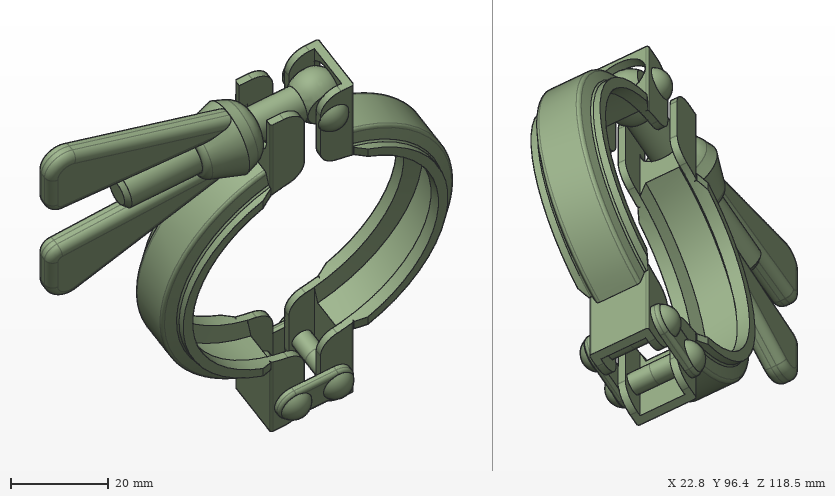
import cadquery as cq
import math


bore_radius = 29.8
lip_outer_radius = 32.1
groove_radius = 33.5
ring_outer_radius = 35.4
ring_half_width = 8.2
flank_angle = math.radians(20)
lip_inner_x = 5.3
flank_foot_x = 6.25
crown_fillet = 0.9
flank_foot_fillet = 0.5

ear_half_width = 7.0
ear_inner_half_width = lip_inner_x
ear_back_y = 10.1
ear_back_thickness = 2.0
ear_gap = 1.95
ear_height = 51.55
ear_corner_radius = 5.0
ear_bend_radius = 0.5
lip_taper_length = 2.6

pin_y = 5.1
pin_z = 43.95
pin_diameter = 4.82
head_sphere_radius = 4.0
head_height = 2.375
ball_window_radius = 6.3
screw_slot_radius = ear_inner_half_width

link_thickness = 2.0
link_end_radius = 4.1
link_edge_fillet = 1.0

screw_radius = 4.0
screw_end_y = -43.0
screw_chamfer = 1.1
ball_radius = 6.0
ball_half_width = 4.1

nut_dome_radius = 5.0
nut_flare_angle = math.radians(19.5)
nut_max_radius = 8.4
nut_max_y = -16.1
nut_end_radius = 5.6
nut_end_y = -24.8
nut_end_fillet = 1.8
wing_thickness = 5.2
wing_edge_fillet = 2.0
wing_tip_y = -60.97
wing_outer_slope = math.tan(math.radians(20.58))
wing_inner_slope = math.tan(math.radians(3.1))
wing_inner_foot = 4.2
wing_outer_foot = nut_max_radius - 0.05
wing_outer_corner = 5.0
wing_inner_corner = 3.2
wing_root_depth = 2.5


def revolved_about_x(points):
    """Full revolution about the X axis of a profile given as (x, radius) points."""
    return cq.Workplane("XY").polyline(points).close().revolve(360, (0, 0, 0), (1, 0, 0))


def x_cylinder(radius, half_length, y, z):
    return cq.Workplane("YZ").center(y, z).circle(radius).extrude(half_length, both=True)


def ring_void():
    """Everything inside the sheet: the bore and the V groove."""
    groove_half_width = lip_inner_x - (groove_radius - bore_radius) * math.tan(flank_angle)
    return revolved_about_x([
        (-ring_half_width, 0),
        (-ring_half_width, bore_radius),
        (-lip_inner_x, bore_radius),
        (-groove_half_width, groove_radius),
        (groove_half_width, groove_radius),
        (lip_inner_x, bore_radius),
        (ring_half_width, bore_radius),
        (ring_half_width, 0),
    ])


def ring_half():
    """Half ring at +Y, its lips narrowing to the ear width at both ends."""
    crown_half_width = flank_foot_x - (ring_outer_radius - lip_outer_radius) * math.tan(flank_angle)
    body = revolved_about_x([
        (-ring_half_width, 0),
        (-ring_half_width, lip_outer_radius),
        (-flank_foot_x, lip_outer_radius),
        (-crown_half_width, ring_outer_radius),
        (crown_half_width, ring_outer_radius),
        (flank_foot_x, lip_outer_radius),
        (ring_half_width, lip_outer_radius),
        (ring_half_width, 0),
    ])
    crown_edges = cq.selectors.RadiusNthSelector(-1)
    body = body.edges(crown_edges).fillet(crown_fillet)
    flank_feet = cq.selectors.BoxSelector(
        (-flank_foot_x - 0.1, -ring_outer_radius, -ring_outer_radius),
        (flank_foot_x + 0.1, ring_outer_radius, ring_outer_radius),
    )
    body = body.edges(flank_feet).edges(cq.selectors.RadiusNthSelector(0)).fillet(flank_foot_fillet)
    taper_y = ear_back_y + lip_taper_length
    plan = (
        cq.Workplane("XY")
        .moveTo(-ring_half_width, 2 * ring_outer_radius)
        .lineTo(-ring_half_width, taper_y)
        .tangentArcPoint((-ear_half_width, ear_back_y), relative=False)
        .lineTo(ear_half_width, ear_back_y)
        .lineTo(ring_half_width, taper_y)
        .lineTo(ring_half_width, 2 * ring_outer_radius)
        .close()
        .extrude(ring_outer_radius * 2, both=True)
    )
    plan = plan.intersect(plan.mirror("YZ"))
    return body.intersect(plan)


def ear():
    """Upper channel-shaped ear at +Y, before the groove is cut out of it."""
    depth = ear_back_y - ear_gap
    channel = (
        cq.Workplane("XY")
        .center(0, ear_gap + depth / 2)
        .rect(2 * ear_half_width, depth)
        .extrude(ear_height)
        .edges("|Z and >Y")
        .fillet(ear_bend_radius)
    )
    channel = channel.cut(x_cylinder(bore_radius, ear_half_width, 0, 0))
    channel = channel.edges("|X and <Y").fillet(ear_corner_radius)
    inside = (
        cq.Workplane("XY")
        .center(0, ear_gap + (depth - ear_back_thickness) / 2)
        .rect(2 * ear_inner_half_width, depth - ear_back_thickness)
        .extrude(ear_height)
    )
    return channel.cut(inside)


def clamp_half():
    """Half clamp at +Y, before its pin holes and screw opening."""
    upper = ear()
    return ring_half().union(upper).union(upper.mirror("XY")).cut(ring_void())


def ball_clamp_half():
    """Half at +Y: its upper back wall has a round window for the ball of the screw."""
    window = (
        cq.Workplane("XZ", origin=(0, ear_back_y, pin_z))
        .circle(ball_window_radius)
        .extrude(ear_back_thickness)
    )
    half = clamp_half().cut(window)
    for z in (-pin_z, pin_z):
        half = half.cut(x_cylinder(pin_diameter / 2, ear_half_width, pin_y, z))
    return half


def slotted_clamp_half():
    """Half at -Y: its upper back wall is slotted from the top, so the screw can swing in."""
    slot_length = 2 * (ear_height - pin_z) + 2 * screw_slot_radius
    slot = (
        cq.Workplane("XZ", origin=(0, ear_back_y, ear_height))
        .slot2D(slot_length, 2 * screw_slot_radius, 90)
        .extrude(ear_back_thickness)
    )
    half = clamp_half().cut(slot)
    half = half.cut(x_cylinder(pin_diameter / 2, ear_half_width, pin_y, -pin_z))
    return half.mirror("XZ")


def pin(seat_x, y, z):
    """Pin along X with a domed head outside the seats at -seat_x and +seat_x."""
    centre_x = seat_x + head_height - head_sphere_radius
    rim_angle = math.acos((seat_x - centre_x) / head_sphere_radius)

    def dome_point(angle):
        return (
            centre_x + head_sphere_radius * math.cos(angle),
            head_sphere_radius * math.sin(angle),
        )

    half = (
        cq.Workplane("XY")
        .lineTo(0, pin_diameter / 2)
        .lineTo(seat_x, pin_diameter / 2)
        .lineTo(*dome_point(rim_angle))
        .threePointArc(dome_point(rim_angle / 2), dome_point(0))
        .close()
        .revolve(360, (0, 0, 0), (1, 0, 0))
    )
    return half.union(half.mirror("YZ")).translate((0, y, z))


def link():
    """Hinge link on the +X side joining the two lower pins."""
    return (
        cq.Workplane("YZ", origin=(ear_half_width, 0, -pin_z))
        .slot2D(2 * (pin_y + link_end_radius), 2 * link_end_radius)
        .extrude(link_thickness)
        .faces(">X")
        .edges()
        .fillet(link_edge_fillet)
        .faces("<X")
        .workplane(origin=(0, 0, -pin_z))
        .pushPoints([(-pin_y, 0), (pin_y, 0)])
        .hole(pin_diameter)
    )


def eye_screw():
    """Screw along Y, its ball end flattened on both sides and pierced by the upper pin."""
    ball = cq.Workplane("XY").sphere(ball_radius)
    ball = ball.intersect(
        cq.Workplane("XY").box(2 * ball_half_width, 2 * ball_radius, 2 * ball_radius)
    )
    shank = (
        cq.Workplane("XZ")
        .circle(screw_radius)
        .extrude(pin_y - screw_end_y)
        .faces("<Y")
        .chamfer(screw_chamfer)
    )
    screw = ball.union(shank).translate((0, pin_y, pin_z))
    return screw.cut(x_cylinder(pin_diameter / 2, ear_half_width, pin_y, pin_z))


def wing():
    """Upper wing, standing on the nut axis as z = 0."""
    def outer(y):
        return wing_outer_foot + (nut_max_y - y) * wing_outer_slope

    def inner(y):
        return wing_inner_foot + (nut_max_y - y) * wing_inner_slope

    root_y = nut_max_y + wing_root_depth
    buried_y = (nut_max_y + nut_end_y) / 2
    plate = (
        cq.Workplane("YZ")
        .polyline([
            (buried_y, inner(buried_y)),
            (root_y, 0),
            (root_y, outer(root_y)),
            (wing_tip_y, outer(wing_tip_y)),
            (wing_tip_y, inner(wing_tip_y)),
        ])
        .close()
        .extrude(wing_thickness / 2, both=True)
    )
    plate = plate.edges("|X and <Y").edges(">Z").fillet(wing_outer_corner)
    plate = plate.edges("|X").edges("<Y").fillet(wing_inner_corner)
    rim = plate.faces("<X or >X").edges().filter(lambda edge: edge.Center().y < root_y - 1e-3)
    return rim.fillet(wing_edge_fillet)


def nut_body():
    """Turned body of the nut: a dome against the clamp, a flare and a cone, about the Y axis."""
    dome_top_y = -ear_back_y
    dome_centre_y = dome_top_y - nut_dome_radius
    shoulder_y = dome_centre_y + nut_dome_radius * math.sin(nut_flare_angle)
    shoulder_radius = nut_max_radius - (shoulder_y - nut_max_y) * math.tan(nut_flare_angle)
    dome_centre_radius = shoulder_radius - nut_dome_radius * math.cos(nut_flare_angle)
    dome_mid_angle = (nut_flare_angle + math.pi / 2) / 2
    dome_mid = (
        dome_centre_radius + nut_dome_radius * math.cos(dome_mid_angle),
        dome_centre_y + nut_dome_radius * math.sin(dome_mid_angle),
    )
    return (
        cq.Workplane("XY")
        .moveTo(0, dome_top_y)
        .lineTo(dome_centre_radius, dome_top_y)
        .threePointArc(dome_mid, (shoulder_radius, shoulder_y))
        .lineTo(nut_max_radius, nut_max_y)
        .lineTo(nut_end_radius, nut_end_y)
        .lineTo(0, nut_end_y)
        .close()
        .revolve(360, (0, 0, 0), (0, 1, 0))
        .faces("<Y")
        .edges()
        .fillet(nut_end_fillet)
    )


def wing_nut():
    upper = wing()
    nut = nut_body().union(upper).union(upper.mirror("XY"))
    hole = cq.Workplane("XZ").circle(screw_radius).extrude(-nut_end_y)
    return nut.cut(hole).translate((0, 0, pin_z))


near_link = link()
upper_pin = pin(ear_half_width, pin_y, pin_z)
hinge_pins = [pin(ear_half_width + link_thickness, y, -pin_z) for y in (-pin_y, pin_y)]

bodies = [
    ball_clamp_half(),
    slotted_clamp_half(),
    eye_screw(),
    wing_nut(),
    near_link,
    near_link.mirror("YZ"),
    upper_pin,
    *hinge_pins,
]
result = cq.Compound.makeCompound([body.val() for body in bodies])